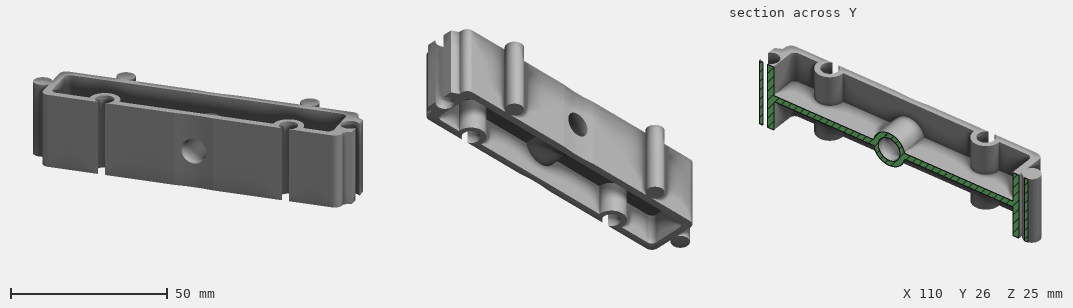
import cadquery as cq
import math

pitch_x = 104.0
pitch_y = 20.0
height = 25.0
wall = 2.5
right_wall = 3.5
end_setback = 2.5
corner_radius = 2.5
cavity_radius = 2.0

connector_diameter = 6.2
pin_overhang = 5.96
connector_x = 0.3 * pitch_x
collar_radius = 5.0

lug_tip_width = 10.5
lug_root_width = 13.0

tube_diameter = 12.75
bore_diameter = 8.5
dish_width = 13.0
dish_depth = 0.4

left = -pitch_x / 2
right = pitch_x / 2
front = -pitch_y / 2
back = pitch_y / 2
body_right = right - end_setback
cavity_right = body_right - right_wall
web_bottom = (height - wall) / 2
web_top = (height + wall) / 2
connector_radius = connector_diameter / 2
connector_offset = pin_overhang - connector_radius


def block(x_min, x_max, y_min, y_max, z_min, z_max):
    """Box between the given limits."""
    size = (x_max - x_min, y_max - y_min, z_max - z_min)
    return cq.Workplane("XY").box(*size, centered=False).translate((x_min, y_min, z_min))


def upright_cylinder(x, y, radius):
    """Full-height cylinder standing on Z = 0."""
    return cq.Workplane("XY").center(x, y).circle(radius).extrude(height)


def cross_cylinder(diameter, y_min, y_max):
    """Cylinder along Y at mid-height."""
    return (
        cq.Workplane("XZ", origin=(0, y_max, height / 2))
        .circle(diameter / 2)
        .extrude(y_max - y_min)
    )


def cavity(z_min, z_max):
    """Cutter for one of the two cavities, with rounded upright corners."""
    pocket = block(left + wall, cavity_right, front + wall, back - wall, z_min, z_max)
    return pocket.edges("|Z").fillet(cavity_radius)


def body():
    """Rounded frame with a web at mid-height between an upper and a lower cavity."""
    frame = block(left, body_right, front, back, 0, height).edges("|Z").fillet(corner_radius)
    return frame.cut(cavity(web_top, height)).cut(cavity(0, web_bottom))


def lug():
    """Tapered block that carries the right-hand socket."""
    return (
        cq.Workplane("XY")
        .polyline([
            (cavity_right, -lug_root_width / 2),
            (body_right, -lug_root_width / 2),
            (right, -lug_tip_width / 2),
            (right, lug_tip_width / 2),
            (body_right, lug_root_width / 2),
            (cavity_right, lug_root_width / 2),
        ])
        .close()
        .extrude(height)
    )


def collar(x):
    """Wall around a front socket, trimmed flush with the front face."""
    y_center = front + connector_offset
    trim = block(x - collar_radius, x + collar_radius, front, y_center + collar_radius, 0, height)
    return upright_cylinder(x, y_center, collar_radius).intersect(trim)


def dish(y_face):
    """Cutter for the shallow cylindrical dish in a long face."""
    y_bottom = y_face - math.copysign(dish_depth, y_face)
    return (
        cq.Workplane("XY")
        .moveTo(-dish_width / 2, y_face)
        .threePointArc((0, y_bottom), (dish_width / 2, y_face))
        .close()
        .extrude(height)
    )


result = body().union(lug())
result = result.union(cross_cylinder(tube_diameter, front + wall / 2, back - wall / 2))

result = result.union(upright_cylinder(left - connector_offset, 0, connector_radius))
result = result.cut(upright_cylinder(body_right, 0, connector_radius))

for x in (-connector_x, connector_x):
    result = result.union(upright_cylinder(x, back + connector_offset, connector_radius))
    result = result.union(collar(x))
    result = result.cut(upright_cylinder(x, front + connector_offset, connector_radius))

for y_face in (front, back):
    result = result.cut(dish(y_face))
result = result.cut(cross_cylinder(bore_diameter, front, back))